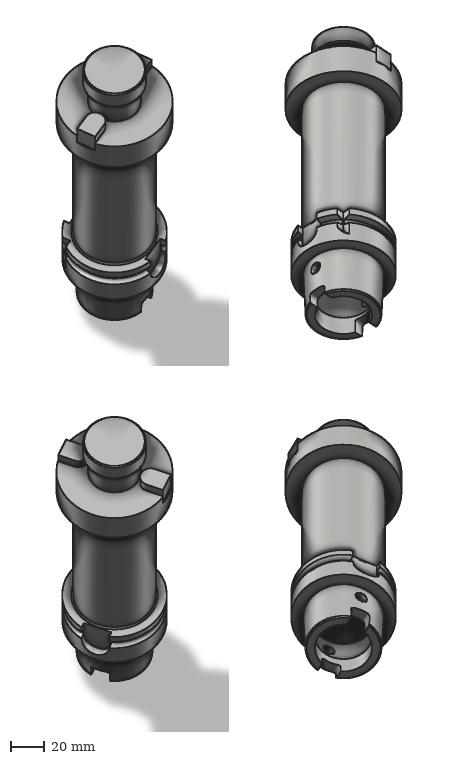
import cadquery as cq

TOTAL_HEIGHT = 214.5
FLANGE_BOTTOM = 32.2
FLANGE_TOP = 58.0
BODY_BASE = 59.0
COLLAR_BOTTOM = 164.3
COLLAR_TOP = 184.3
HEAD_BOTTOM = 201.9

SHANK_LARGE_DIA = 48.5
SHANK_SMALL_DIA = 46.0
FLANGE_DIA = 63.0
BODY_DIA = 50.0
COLLAR_DIA = 70.0
NECK_DIA = 32.0
HEAD_DIA = 38.0

SHANK_CHAMFER = 0.9
HEAD_CHAMFER = 0.9
BODY_BASE_FLARE = BODY_BASE - FLANGE_TOP

GROOVE_DIA = 56.6
GROOVE_CENTER = 49.8
GROOVE_FLOOR_WIDTH = 3.6
GROOVE_MOUTH_WIDTH = 6.7

KEYWAY_WIDTH = 16.0
WIDE_KEYWAY_WIDTH = 18.0
KEYWAY_BOTTOM = 37.1
KEYWAY_FLOOR_X = 26.5
NOTCH_WALL = 19.5

MOUTH_BORE_DIA = 34.3
MOUTH_BORE_DEPTH = 12.9
CHAMBER_DIA = 39.0
CHAMBER_TOP = FLANGE_BOTTOM
CROSS_HOLE_DIA = 7.7
CROSS_HOLE_HEIGHT = 23.0
DRIVE_SLOT_WIDTH = 12.5
DRIVE_SLOT_HEIGHT = 6.5
DEEP_DRIVE_SLOT_HEIGHT = 10.0
DRIVE_SLOT_FILLET = 2.0

KEY_WIDTH = 12.5
KEY_TOP = 190.7
KEY_BOTTOM = 177.9
KEY_INNER_Y = 17.2
KEY_OUTER_Y = 34.1


def turned_body():
    """Revolve the complete half profile about Z."""
    shank_small = SHANK_SMALL_DIA / 2
    shank_large = SHANK_LARGE_DIA / 2
    flange = FLANGE_DIA / 2
    groove = GROOVE_DIA / 2
    body = BODY_DIA / 2
    collar = COLLAR_DIA / 2
    neck = NECK_DIA / 2
    head = HEAD_DIA / 2
    half_mouth = GROOVE_MOUTH_WIDTH / 2
    half_floor = GROOVE_FLOOR_WIDTH / 2
    profile = [
        (0, 0),
        (shank_small - SHANK_CHAMFER, 0),
        (shank_small, SHANK_CHAMFER),
        (shank_large, FLANGE_BOTTOM),
        (flange, FLANGE_BOTTOM),
        (flange, GROOVE_CENTER - half_mouth),
        (groove, GROOVE_CENTER - half_floor),
        (groove, GROOVE_CENTER + half_floor),
        (flange, GROOVE_CENTER + half_mouth),
        (flange, FLANGE_TOP),
        (body + BODY_BASE_FLARE, FLANGE_TOP),
        (body, BODY_BASE),
        (body, COLLAR_BOTTOM),
        (collar, COLLAR_BOTTOM),
        (collar, COLLAR_TOP),
        (neck, COLLAR_TOP),
        (neck, HEAD_BOTTOM),
        (head - HEAD_CHAMFER, HEAD_BOTTOM),
        (head, HEAD_BOTTOM + HEAD_CHAMFER),
        (head, TOTAL_HEIGHT - HEAD_CHAMFER),
        (head - HEAD_CHAMFER, TOTAL_HEIGHT),
        (0, TOTAL_HEIGHT),
    ]
    return cq.Workplane("XZ").polyline(profile).close().revolve(360, (0, 0), (0, 1))


def box_between(x_range, y_range, z_range):
    """Axis-aligned box given its limits on each axis."""
    corner = (x_range[0], y_range[0], z_range[0])
    size = [high - low for low, high in (x_range, y_range, z_range)]
    return cq.Workplane("XY").box(*size, centered=False).translate(corner)


def keyway(width, floor_x, center_y=0):
    """Keyway cutter with a round lower end, open at the flange top, on the +X side."""
    radius = width / 2
    round_center = KEYWAY_BOTTOM + radius
    return (
        cq.Workplane("YZ", origin=(floor_x, center_y, 0))
        .moveTo(-radius, FLANGE_TOP)
        .lineTo(-radius, round_center)
        .threePointArc((0, KEYWAY_BOTTOM), (radius, round_center))
        .lineTo(radius, FLANGE_TOP)
        .close()
        .extrude(FLANGE_DIA / 2)
    )


def flange_cuts():
    """Two opposite keyways and the corner notch."""
    narrow = keyway(KEYWAY_WIDTH, KEYWAY_FLOOR_X).mirror("YZ")
    wide = keyway(WIDE_KEYWAY_WIDTH, KEYWAY_FLOOR_X)
    notch = keyway(KEYWAY_WIDTH, NOTCH_WALL, -NOTCH_WALL - KEYWAY_WIDTH / 2).mirror("YZ")
    return narrow.union(wide).union(notch)


def drive_slot(height, x_start, x_end):
    """Slot across the small end of the shank with rounded upper corners."""
    half_width = DRIVE_SLOT_WIDTH / 2
    slot = box_between((x_start, x_end), (-half_width, half_width), (0, height))
    return slot.edges("|X and >Z").fillet(DRIVE_SLOT_FILLET)


def shank_cuts():
    """Stepped blind bore, cross hole, through drive slot and the deeper drive slot on the +X half."""
    reach = SHANK_LARGE_DIA / 2
    mouth = cq.Workplane("XY").circle(MOUTH_BORE_DIA / 2).extrude(MOUTH_BORE_DEPTH)
    chamber = (
        cq.Workplane("XY", origin=(0, 0, MOUTH_BORE_DEPTH))
        .circle(CHAMBER_DIA / 2)
        .extrude(CHAMBER_TOP - MOUTH_BORE_DEPTH)
    )
    bore = mouth.union(chamber)
    cross_hole = (
        cq.Workplane("YZ", origin=(-reach, 0, CROSS_HOLE_HEIGHT))
        .circle(CROSS_HOLE_DIA / 2)
        .extrude(2 * reach)
    )
    through_slot = drive_slot(DRIVE_SLOT_HEIGHT, -reach, reach)
    deep_slot = drive_slot(DEEP_DRIVE_SLOT_HEIGHT, 0, reach)
    return bore.union(cross_hole).union(through_slot).union(deep_slot)


def driving_key():
    """Key on the -Y side with a round inner end and a flat outer end."""
    half_width = KEY_WIDTH / 2
    round_center = -KEY_INNER_Y - half_width
    return (
        cq.Workplane("XY", origin=(0, 0, KEY_BOTTOM))
        .moveTo(-half_width, -KEY_OUTER_Y)
        .lineTo(-half_width, round_center)
        .threePointArc((0, -KEY_INNER_Y), (half_width, round_center))
        .lineTo(half_width, -KEY_OUTER_Y)
        .close()
        .extrude(KEY_TOP - KEY_BOTTOM)
    )


def key_relief():
    """Material removed from the collar rim in front of the -Y key."""
    half_width = KEY_WIDTH / 2
    return box_between(
        (-half_width, half_width),
        (-COLLAR_DIA / 2, -KEY_OUTER_Y),
        (KEY_BOTTOM, COLLAR_TOP),
    )


Z_AXIS = ((0, 0, 0), (0, 0, 1))

result = turned_body().cut(flange_cuts()).cut(shank_cuts())
for angle in (0, 180):
    result = result.cut(key_relief().rotate(*Z_AXIS, angle))
    result = result.union(driving_key().rotate(*Z_AXIS, angle))